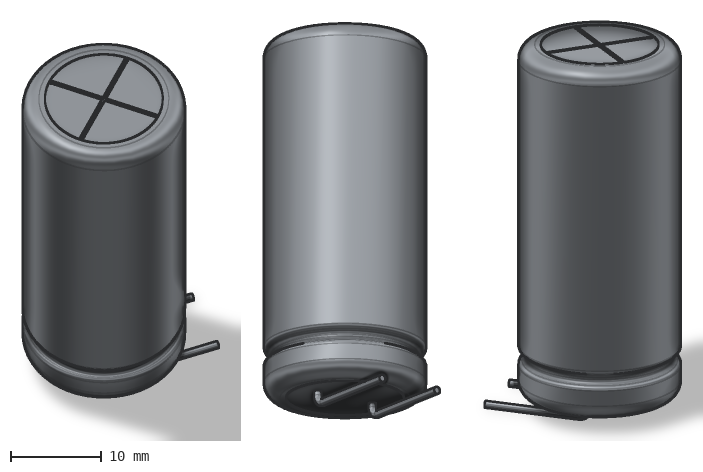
import cadquery as cq
import math

total_height = 42.8
base_height = 1.8

sleeve_diameter = 17.97
sleeve_thickness = 0.1
flat_end_diameter = 14.35
opening_diameter = 13.0
edge_radius = (sleeve_diameter - flat_end_diameter) / 2

groove_height = 6.55
groove_width = 2.3
groove_floor_width = 0.25
groove_floor_diameter = 16.45

vent_length = 12.5
vent_width = 0.4
vent_depth = 0.4
vent_angles = (45, 135)

lead_diameter = 0.8
lead_spacing = 7.5
lead_bend_radius = 1.0
lead_end_y = 12.02

sleeve_radius = sleeve_diameter / 2
groove_floor_radius = groove_floor_diameter / 2
groove_depth = sleeve_radius - groove_floor_radius
groove_side_width = (groove_width - groove_floor_width) / 2
groove_turn = 2 * math.atan(groove_depth / groove_side_width)
groove_arc_radius = groove_side_width / (2 * math.sin(groove_turn))

can_bottom = base_height + sleeve_thickness
can_top = total_height - sleeve_thickness


def on_arc(center, radius, angle):
    """Point at the given angle (radians) on a circle in the radius-height plane."""
    return (center[0] + radius * math.cos(angle), center[1] + radius * math.sin(angle))


def grooved_cylinder(inset):
    """Round-edged grooved cylinder, with its whole surface moved inward by inset."""
    radius = sleeve_radius - inset
    bottom = base_height + inset
    top = total_height - inset
    flat_radius = flat_end_diameter / 2
    corner = edge_radius - inset

    outer_arc = groove_arc_radius - inset
    inner_arc = groove_arc_radius + inset
    outer_center_radius = sleeve_radius - groove_arc_radius
    inner_center_radius = groove_floor_radius + groove_arc_radius
    lower_outer = (outer_center_radius, groove_height - groove_width / 2)
    lower_inner = (inner_center_radius, groove_height - groove_floor_width / 2)
    upper_inner = (inner_center_radius, groove_height + groove_floor_width / 2)
    upper_outer = (outer_center_radius, groove_height + groove_width / 2)
    half_turn = groove_turn / 2

    lower_corner = (flat_radius, base_height + edge_radius)
    upper_corner = (flat_radius, total_height - edge_radius)

    profile = (
        cq.Workplane("XZ")
        .moveTo(0, bottom)
        .lineTo(flat_radius, bottom)
        .threePointArc(on_arc(lower_corner, corner, -math.pi / 4), (radius, lower_corner[1]))
        .lineTo(radius, lower_outer[1])
        .threePointArc(
            on_arc(lower_outer, outer_arc, half_turn),
            on_arc(lower_outer, outer_arc, groove_turn),
        )
        .threePointArc(
            on_arc(lower_inner, inner_arc, math.pi + half_turn),
            on_arc(lower_inner, inner_arc, math.pi),
        )
        .lineTo(*on_arc(upper_inner, inner_arc, math.pi))
        .threePointArc(
            on_arc(upper_inner, inner_arc, math.pi - half_turn),
            on_arc(upper_inner, inner_arc, math.pi - groove_turn),
        )
        .threePointArc(on_arc(upper_outer, outer_arc, -half_turn), (radius, upper_outer[1]))
        .lineTo(radius, upper_corner[1])
        .threePointArc(on_arc(upper_corner, corner, math.pi / 4), (flat_radius, top))
        .lineTo(0, top)
        .close()
    )
    return profile.revolve(360, (0, 0, 0), (0, 1, 0))


def make_sleeve():
    """Thin sleeve around the can, open inside its flat end rings."""
    opening = (
        cq.Workplane("XY")
        .workplane(offset=base_height)
        .circle(opening_diameter / 2)
        .extrude(total_height - base_height)
    )
    return grooved_cylinder(0).cut(grooved_cylinder(sleeve_thickness)).cut(opening)


def make_vent_groove(angle):
    """Cutter for one straight groove across the can top."""
    return (
        cq.Workplane("XY")
        .workplane(offset=can_top - vent_depth)
        .rect(vent_length, vent_width)
        .extrude(vent_depth)
        .rotate((0, 0, 0), (0, 0, 1), angle)
    )


def make_lead(x):
    """Lead that drops from the can bottom and bends toward +Y."""
    axis_height = lead_diameter / 2
    bend_top = axis_height + lead_bend_radius
    bend_middle = on_arc((lead_bend_radius, bend_top), lead_bend_radius, math.radians(225))
    path = (
        cq.Workplane("YZ", origin=(x, 0, 0))
        .moveTo(0, can_bottom)
        .lineTo(0, bend_top)
        .threePointArc(bend_middle, (lead_bend_radius, axis_height))
        .lineTo(lead_end_y, axis_height)
    )
    section = cq.Workplane("XY", origin=(x, 0, can_bottom)).circle(lead_diameter / 2)
    return section.sweep(path)


def make_can():
    """Solid can with vent grooves in its top and two leads fixed to its bottom."""
    body = grooved_cylinder(sleeve_thickness)
    for angle in vent_angles:
        body = body.cut(make_vent_groove(angle))
    for side in (-1, 1):
        body = body.union(make_lead(side * lead_spacing / 2))
    return body


sleeve = make_sleeve()
can = make_can()

result = cq.Compound.makeCompound([sleeve.solids().val(), can.solids().val()])